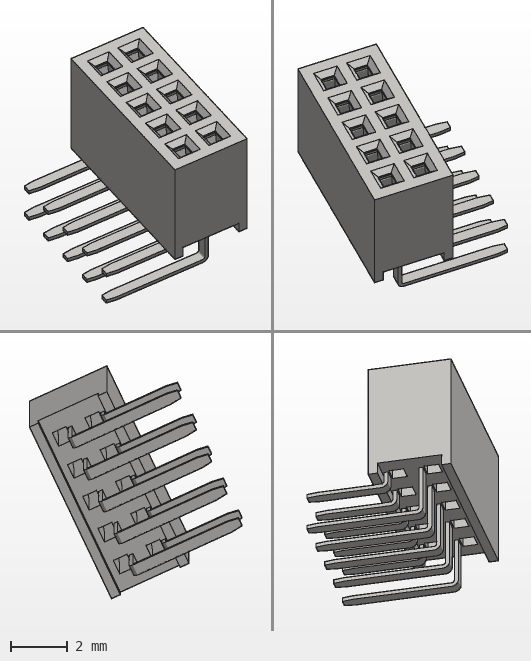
import cadquery as cq
import math

BODY_LENGTH = 6.81
BODY_DEPTH = 3.0
BODY_HEIGHT = 4.3
LEG_WIDTH = 0.34
LEG_HEIGHT = 0.41

PITCH = 1.27
COLUMNS = 5
ROW_PLACES = [(BODY_DEPTH - PITCH) / 2, (BODY_DEPTH + PITCH) / 2]
COLUMN_PLACES = [(i - (COLUMNS - 1) / 2) * PITCH for i in range(COLUMNS)]

FUNNEL_INSET = 0.2
PASSAGE_WIDTH = 0.505
PASSAGE_HEIGHT = 0.075
CAVITY_WIDTH = 0.53
FUNNEL_WIDTH = PASSAGE_WIDTH + 2 * FUNNEL_INSET
BEAM_DEPTH = 0.395
BEAM_TIP_RADIUS = 0.04
BEAM_SLOPE = math.radians(7)
THROAT_WIDTH = 0.25

PIN_WIDTH = 0.4
PIN_THICKNESS = 0.15
PIN_TIP_WIDTH = 0.29
PIN_TIP_LENGTH = 0.4
PIN_REACH = 2.4
PIN_OFFSET = 0.39
BEND_INNER_RADIUS = 0.1
BEND_OUTER_RADIUS = BEND_INNER_RADIUS + PIN_THICKNESS
LOWEST_PIN_HEIGHT = -1.465

CEILING = LEG_HEIGHT


def make_body():
    """Block with a channel under it along X, leaving a leg at the front and back."""
    block = cq.Workplane("XY").box(BODY_LENGTH, BODY_DEPTH, BODY_HEIGHT, centered=(True, False, False))
    channel = (
        cq.Workplane("XY")
        .box(BODY_LENGTH, BODY_DEPTH - 2 * LEG_WIDTH, LEG_HEIGHT, centered=(True, False, False))
        .translate((0, LEG_WIDTH, 0))
    )
    return block.cut(channel)


def make_beam(side):
    """Spring beam on one X wall (side is -1 or 1): rounded top, a slope in to the throat and back out."""
    wall = CAVITY_WIDTH / 2
    shoulder = wall - BEAM_TIP_RADIUS
    throat = THROAT_WIDTH / 2
    top = BODY_HEIGHT - BEAM_DEPTH
    shoulder_height = top - BEAM_TIP_RADIUS
    throat_height = shoulder_height - (shoulder - throat) / math.tan(BEAM_SLOPE)
    foot_height = throat_height - (wall - throat) / math.tan(BEAM_SLOPE)
    arc_middle = BEAM_TIP_RADIUS * math.sqrt(0.5)
    return (
        cq.Workplane("XZ")
        .moveTo(side * wall, foot_height)
        .lineTo(side * wall, top)
        .threePointArc(
            (side * (shoulder + BEAM_TIP_RADIUS - arc_middle), shoulder_height + arc_middle),
            (side * shoulder, shoulder_height),
        )
        .lineTo(side * throat, throat_height)
        .close()
        .extrude(CAVITY_WIDTH / 2, both=True)
    )


def make_socket():
    """Void of one socket, from the top face down to the channel ceiling."""
    funnel = (
        cq.Workplane("XY", origin=(0, 0, BODY_HEIGHT))
        .rect(FUNNEL_WIDTH, FUNNEL_WIDTH)
        .workplane(offset=-FUNNEL_INSET)
        .rect(PASSAGE_WIDTH, PASSAGE_WIDTH)
        .loft(ruled=True)
    )
    cavity_top = BODY_HEIGHT - FUNNEL_INSET - PASSAGE_HEIGHT
    passage = (
        cq.Workplane("XY", origin=(0, 0, cavity_top))
        .rect(PASSAGE_WIDTH, PASSAGE_WIDTH)
        .extrude(PASSAGE_HEIGHT)
    )
    cavity = (
        cq.Workplane("XY", origin=(0, 0, CEILING))
        .rect(CAVITY_WIDTH, CAVITY_WIDTH)
        .extrude(cavity_top - CEILING)
    )
    for side in (-1, 1):
        cavity = cavity.cut(make_beam(side))
    return funnel.union(passage).union(cavity)


def make_pin(row_place, bottom):
    """Pin that drops from the ceiling, bends forward and ends in a tip narrowed in X."""
    back = row_place - PIN_OFFSET + PIN_THICKNESS / 2
    front = back - PIN_THICKNESS
    upper = bottom + PIN_THICKNESS
    wire = (
        cq.Workplane("YZ")
        .moveTo(back, CEILING)
        .lineTo(back, bottom + BEND_OUTER_RADIUS)
        .radiusArc((back - BEND_OUTER_RADIUS, bottom), BEND_OUTER_RADIUS)
        .lineTo(-PIN_REACH, bottom)
        .lineTo(-PIN_REACH, upper)
        .lineTo(front - BEND_INNER_RADIUS, upper)
        .radiusArc((front, upper + BEND_INNER_RADIUS), -BEND_INNER_RADIUS)
        .lineTo(front, CEILING)
        .close()
        .extrude(PIN_WIDTH / 2, both=True)
    )
    half_width = PIN_WIDTH / 2
    half_tip = PIN_TIP_WIDTH / 2
    taper_start = PIN_TIP_LENGTH - PIN_REACH
    plan = (
        cq.Workplane("XY", origin=(0, 0, bottom))
        .moveTo(-half_width, back)
        .lineTo(-half_width, taper_start)
        .lineTo(-half_tip, -PIN_REACH)
        .lineTo(half_tip, -PIN_REACH)
        .lineTo(half_width, taper_start)
        .lineTo(half_width, back)
        .close()
        .extrude(CEILING - bottom)
    )
    return wire.intersect(plan)


result = make_body()
socket = make_socket()
for row, row_place in enumerate(ROW_PLACES):
    pin = make_pin(row_place, LOWEST_PIN_HEIGHT + PITCH * (1 - row))
    for column_place in COLUMN_PLACES:
        result = result.cut(socket.translate((column_place, row_place, 0)))
        result = result.union(pin.translate((column_place, 0, 0)))